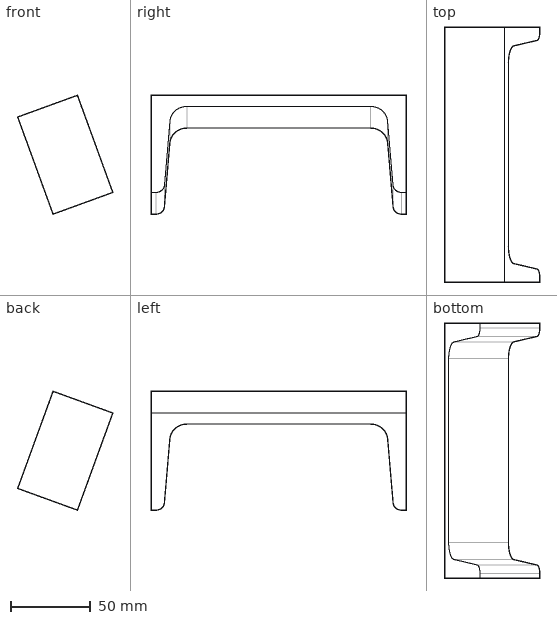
import cadquery as cq

channel_height = 160.0
flange_width = 65.0
piece_length = 40.0
web_thickness = 7.5
flange_thickness = 10.5
flange_slope = 0.08
root_radius = flange_thickness
toe_radius = 5.5
tilt_angle = 20.0


def flange_thickness_at(depth):
    """Flange thickness at a distance below the back of the web."""
    return flange_thickness + flange_slope * (flange_width / 2 - depth)


half_height = channel_height / 2
root_y = half_height - flange_thickness_at(web_thickness)
toe_y = half_height - flange_thickness_at(flange_width)

channel = (
    cq.Workplane("YZ")
    .polyline([
        (-half_height, 0),
        (half_height, 0),
        (half_height, -flange_width),
        (toe_y, -flange_width),
        (root_y, -web_thickness),
        (-root_y, -web_thickness),
        (-toe_y, -flange_width),
        (-half_height, -flange_width),
    ])
    .close()
    .extrude(piece_length)
)


def round_corner_pair(body, y, z, radius):
    """Round the lengthwise edges at (y, z) and (-y, z)."""
    mid_length = piece_length / 2
    for side in (-1, 1):
        nearest_edge = cq.selectors.NearestToPointSelector((mid_length, side * y, z))
        body = body.edges("|X").edges(nearest_edge).fillet(radius)
    return body


channel = round_corner_pair(channel, root_y, -web_thickness, root_radius)
channel = round_corner_pair(channel, toe_y, -flange_width, toe_radius)

result = channel.rotate((0, 0, 0), (0, 1, 0), -tilt_angle)